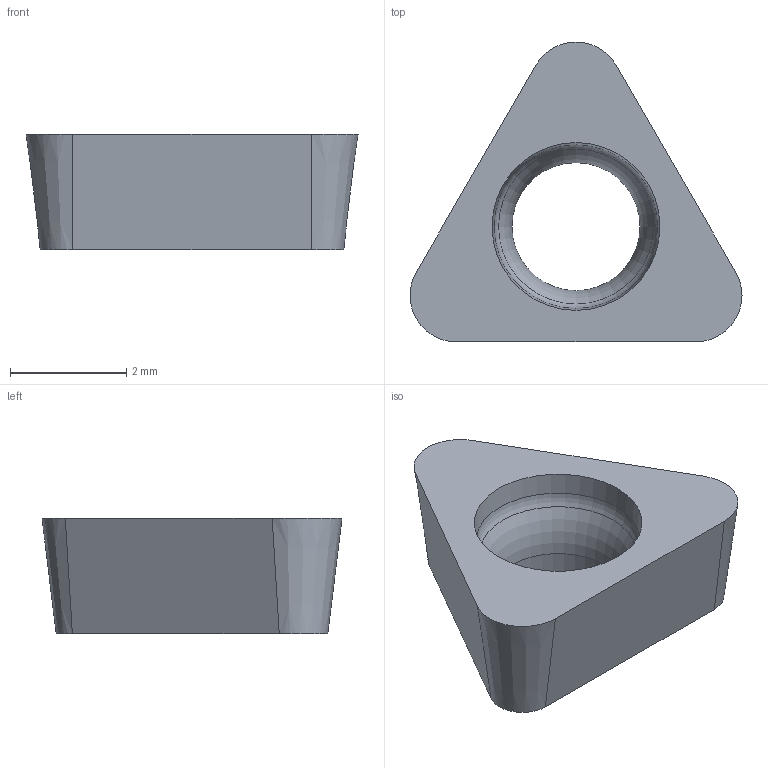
import cadquery as cq
import math

inscribed_diameter = 3.97
corner_radius = 0.8
thickness = 1.98
clearance_angle = 7.0

bore_diameter = 2.2
bore_depth = 0.553
seat_radius = 1.56
seat_sweep = 31.7
lip_radius = 0.53
mouth_taper = 5.0


def insert_body():
    """Rounded triangle at the top face, tapering inward toward the bottom."""
    sharp_corners = [
        (
            inscribed_diameter * math.cos(math.radians(angle)),
            inscribed_diameter * math.sin(math.radians(angle)),
        )
        for angle in (90, 210, 330)
    ]
    outline = cq.Sketch().polygon(sharp_corners + sharp_corners[:1]).vertices().fillet(corner_radius)
    return (
        cq.Workplane("XY")
        .workplane(offset=thickness)
        .placeSketch(outline)
        .extrude(-thickness, taper=clearance_angle)
    )


def arc_point(center, radius, angle):
    """Point on a circle in the radius-height plane, angle in degrees."""
    return (
        center[0] + radius * math.cos(math.radians(angle)),
        center[1] + radius * math.sin(math.radians(angle)),
    )


def screw_hole():
    """Revolved cutter for the hole; seat, lip and mouth flow tangentially into each other."""
    bore_radius = bore_diameter / 2

    seat_center = (bore_radius + seat_radius, bore_depth)
    seat_middle = arc_point(seat_center, seat_radius, 180 - seat_sweep / 2)
    seat_top = arc_point(seat_center, seat_radius, 180 - seat_sweep)

    lip_center = arc_point(seat_top, lip_radius, 180 - seat_sweep)
    lip_middle = arc_point(lip_center, lip_radius, -(seat_sweep + mouth_taper) / 2)
    lip_top = arc_point(lip_center, lip_radius, -mouth_taper)

    mouth_height = thickness - lip_top[1]
    mouth_radius = lip_top[0] + mouth_height * math.tan(math.radians(mouth_taper))
    return (
        cq.Workplane("XZ")
        .lineTo(bore_radius, 0)
        .lineTo(bore_radius, bore_depth)
        .threePointArc(seat_middle, seat_top)
        .threePointArc(lip_middle, lip_top)
        .lineTo(mouth_radius, thickness)
        .lineTo(0, thickness)
        .close()
        .revolve(360, (0, 0, 0), (0, 1, 0))
    )


result = insert_body().cut(screw_hole())